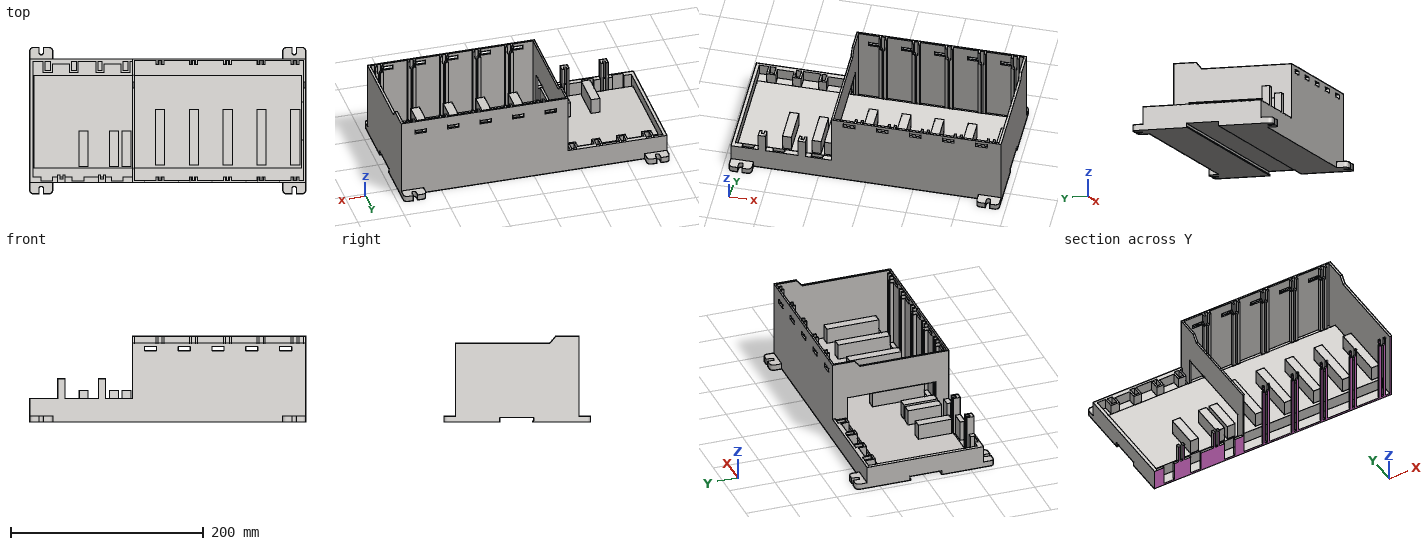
import cadquery as cq
length = 286.3
body_depth = 128.2
overall_depth = 152.0
height = 89.0
front_y = -body_depth / 2
back_y = body_depth / 2
tray_height = 24.5
cage_front_height = 82.0
cage_x = 106.5

floor_top = 3.0
back_ledge_top = 12.5
cage_wall = 2.0
cage_right_wall = 2.5
tray_left_wall = 3.7
tray_front_wall = 5.7
tray_back_wall = 3.0

rim_slope_front_y = 33.8
rim_slope_back_y = 39.8

rail_front_y = -18.0
rail_back_y = 17.0
rail_depth = 4.5
rail_cover = 2.3
rail_lip = 1.1

board_left_x = 4.5
board_right_x = 282.0
board_front_y = -49.2
board_back_y = 46.7
board_top = 16.0
window_front_y = -50.0
window_back_y = 47.5
window_top = 47.0

connector_width = 9.5
connector_top = 33.0
tray_connector_front_y = -47.5
tray_connector_back_y = -10.5
tray_connector_lefts = (51.2, 82.7, 95.5)
cage_connector_front_y = -45.8
cage_connector_back_y = 11.5

station_count = 5
first_station_x = 130.5
station_pitch = 140.0 / (station_count - 1)
station_lefts = [first_station_x + i * station_pitch for i in range(station_count)]

guide_offset = 0.3
guide_rib = 2.0
guide_width = 8.3
guide_reach = 3.7
guide_step = 1.1
lead_in_top = 74.5
lead_in_bottom = 72.7

latch_width = 12.3
latch_bottom = 74.0
latch_height = 4.0
latch_offset = -11.5

post_centres = (33.0, 75.0)
post_width = 7.7
post_depth = 7.7
post_top = 45.0
post_groove_width = 3.0
post_groove_depth = 4.0
recess_centres = (17.7, 50.0, 90.7)
recess_width = 12.0
recess_wall = 1.7

socket_centres = (18.5, 45.8, 73.0, 99.3)
socket_widths = (9.7, 9.2, 8.3, 9.2)
socket_front_y = 50.0
socket_wall = 2.0
thick_back_wall = 5.5

ear_width = 24.0
ear_height = 6.3
ear_reach = (overall_depth - body_depth) / 2
ear_radius = 4.3
ear_slot_width = 4.5
ear_slot_depth = 7.7


def block(x0, x1, y0, y1, z0, z1):
    """Box given by its limits along each axis."""
    return cq.Workplane("XY").box(x1 - x0, y1 - y0, z1 - z0, centered=False).translate((x0, y0, z0))


def shell():
    """Hollow tray with its back ledge, and hollow cage with the sloped rim."""
    tray = block(0, cage_x, front_y, back_y, 0, tray_height)
    cage = (
        cq.Workplane("YZ")
        .polyline([
            (front_y, 0),
            (back_y, 0),
            (back_y, height),
            (rim_slope_back_y, height),
            (rim_slope_front_y, cage_front_height),
            (front_y, cage_front_height),
        ])
        .close()
        .extrude(length - cage_x)
        .translate((cage_x, 0, 0))
    )
    tray_cavity = block(
        tray_left_wall, cage_x, front_y + tray_front_wall, back_y - tray_back_wall, floor_top, height
    )
    back_ledge = block(
        tray_left_wall, cage_x, board_back_y, back_y - tray_back_wall, floor_top, back_ledge_top
    )
    cage_cavity = block(
        cage_x + cage_wall, length - cage_right_wall, front_y + cage_wall, back_y - cage_wall, floor_top, height
    )
    window = block(cage_x, cage_x + cage_wall, window_front_y, window_back_y, back_ledge_top, window_top)
    return tray.cut(tray_cavity).union(back_ledge).union(cage.cut(cage_cavity)).cut(window)


def rail_channel_cover():
    """Raised floor that keeps material above the rail channel."""
    return block(
        0, length, rail_front_y - rail_cover, rail_back_y + rail_cover, 0, rail_depth + rail_cover
    )


def rail_channel():
    """Channel along the underside, with a small retaining lip at its back edge."""
    channel = block(0, length, rail_front_y, rail_back_y, 0, rail_depth)
    lip = block(0, length, rail_back_y - rail_lip, rail_back_y, 0, rail_lip)
    return channel.cut(lip)


def board_and_connectors():
    """Board with its connector blocks."""
    board = block(board_left_x, board_right_x, board_front_y, board_back_y, floor_top, board_top)
    for x in tray_connector_lefts:
        board = board.union(block(
            x, x + connector_width, tray_connector_front_y, tray_connector_back_y, board_top, connector_top
        ))
    for x in station_lefts:
        board = board.union(block(
            x, x + connector_width, cage_connector_front_y, cage_connector_back_y, board_top, connector_top
        ))
    return board


def guide(x, wall_y, direction, top):
    """Pair of ribs standing on a wall; direction is +1 or -1 towards the inside."""
    profile = [
        (0, floor_top),
        (guide_rib + guide_step, floor_top),
        (guide_rib + guide_step, lead_in_bottom),
        (guide_rib, lead_in_top),
        (guide_rib, top),
        (0, top),
    ]
    mirrored = [(guide_width - u, z) for u, z in profile]
    ribs = cq.Workplane("XZ")
    for outline in (profile, mirrored):
        ribs = ribs.polyline(outline).close()
    return ribs.extrude(-direction * guide_reach).translate((x, wall_y, 0))


def latch_slot(x):
    """Slot through both long walls of the cage."""
    left = x + latch_offset
    return block(left, left + latch_width, front_y, back_y, latch_bottom, latch_bottom + latch_height)


def post(x):
    """Post on the tray front wall, grooved on its inner face."""
    inner_y = front_y + post_depth
    body = block(x - post_width / 2, x + post_width / 2, front_y, inner_y, floor_top, post_top)
    groove = block(
        x - post_groove_width / 2, x + post_groove_width / 2,
        inner_y - post_groove_depth, inner_y, floor_top, post_top,
    )
    return body.cut(groove)


def rim_recess(x):
    """Pocket thinning the tray front wall from the inside."""
    return block(
        x - recess_width / 2, x + recess_width / 2,
        front_y + recess_wall, front_y + tray_front_wall, floor_top, tray_height,
    )


def socket_body(x, width):
    """Solid socket standing against the tray back wall."""
    return block(
        x - width / 2, x + width / 2, socket_front_y, back_y - tray_back_wall, back_ledge_top, tray_height
    )


def socket_hole(x, width):
    """Square hole in a socket, open at the top."""
    return block(
        x - width / 2 + socket_wall, x + width / 2 - socket_wall,
        socket_front_y + socket_wall, back_y - tray_back_wall, back_ledge_top, tray_height,
    )


def thick_back(left_socket_x, right_socket_x):
    """Thicker stretch of the tray back wall between the centres of two sockets."""
    return block(
        left_socket_x, right_socket_x,
        back_y - thick_back_wall, back_y, back_ledge_top, tray_height,
    )


def ear():
    """Slotted ear at the front left corner."""
    tip_y = front_y - ear_reach
    plate = block(0, ear_width, tip_y, front_y, 0, ear_height).edges("|Z and <Y").fillet(ear_radius)
    slot_x = ear_width / 2
    slot_end_y = tip_y + ear_slot_depth - ear_slot_width / 2
    slot = block(
        slot_x - ear_slot_width / 2, slot_x + ear_slot_width / 2,
        tip_y, slot_end_y, 0, ear_height,
    )
    slot_end = (
        cq.Workplane("XY").center(slot_x, slot_end_y).circle(ear_slot_width / 2).extrude(ear_height)
    )
    return plate.cut(slot).cut(slot_end)


result = shell().union(rail_channel_cover()).union(board_and_connectors()).cut(rail_channel())

for station_x in station_lefts:
    guide_x = station_x + guide_offset
    result = result.union(guide(guide_x, front_y + cage_wall, 1, cage_front_height))
    result = result.union(guide(guide_x, back_y - cage_wall, -1, height))
    result = result.cut(latch_slot(station_x))

for recess_x in recess_centres:
    result = result.cut(rim_recess(recess_x))

for post_x in post_centres:
    result = result.union(post(post_x))

for left_socket_x, right_socket_x in zip(socket_centres[::2], socket_centres[1::2]):
    result = result.union(thick_back(left_socket_x, right_socket_x))

for socket_x, socket_width in zip(socket_centres, socket_widths):
    result = result.union(socket_body(socket_x, socket_width)).cut(socket_hole(socket_x, socket_width))

front_left_ear = ear()
front_right_ear = front_left_ear.translate((length - ear_width, 0, 0))
front_ears = front_left_ear.union(front_right_ear)
result = result.union(front_ears).union(front_ears.mirror("XZ"))